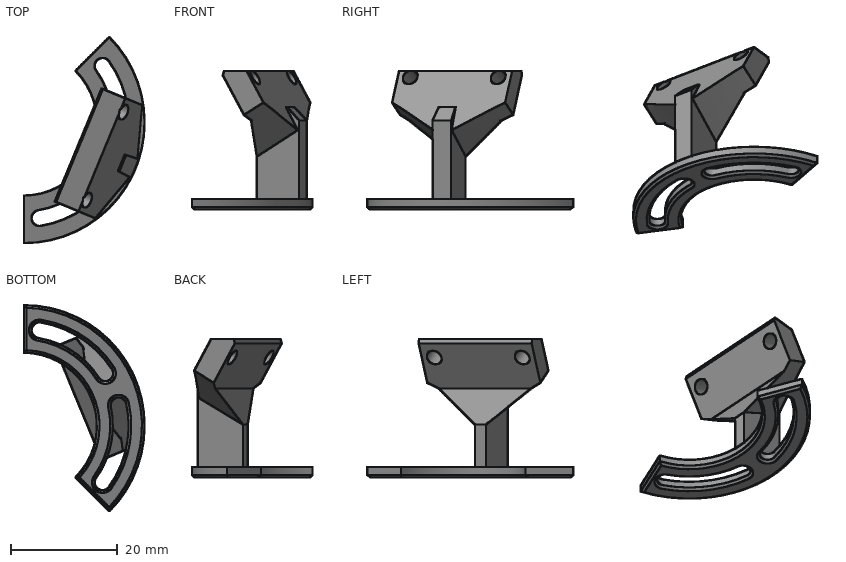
import cadquery as cq
import math

start_angle = -90
end_angle = 45
middle_angle = (start_angle + end_angle) / 2
outer_radius = 38.63 / (1 + math.sin(math.radians(end_angle)))
inner_radius = 13.68
base_thickness = 2.0
base_chamfer = 0.5

slot_radius = (outer_radius + inner_radius) / 2
slot_width = 2.95
slot_far_offset = 58.2
slot_near_offset = 10.3

post_half_angle = 4.8
post_top = 19.2
post_slope_drop = 2.5

overall_height = 26.0
tilt = math.radians(60)
slab_half_width = 11.47
slab_thickness = 4.6
slab_corner_radius = 15.3
slab_corner_height = 17.75
bevel_height = 0.85
bevel_inset = 0.27
lip_half_width = 9.43
lip_slope = math.radians(30)
lip_depth = (slab_half_width - lip_half_width) * math.tan(lip_slope)
gusset_depth = 5.95

hole_diameter = 2.95
hole_half_spacing = 8.92
hole_height = 22.5



def polar(radius, angle):
    angle = math.radians(angle)
    return radius * math.cos(angle), radius * math.sin(angle)


def head_point(down, through):
    """Radial position and height, from distances down the slab and through its thickness."""
    radial = slab_corner_radius + down * math.cos(tilt) + through * math.sin(tilt)
    height = slab_corner_height - down * math.sin(tilt) + through * math.cos(tilt)
    return radial, height


def down_to_height(height, through):
    """Distance down the slab at which a plane parallel to its face has this height."""
    return (slab_corner_height + through * math.cos(tilt) - height) / math.sin(tilt)


def ring_sector(inner, outer, first, last):
    middle = (first + last) / 2
    return (
        cq.Workplane("XY")
        .moveTo(*polar(inner, first))
        .lineTo(*polar(outer, first))
        .threePointArc(polar(outer, middle), polar(outer, last))
        .lineTo(*polar(inner, last))
        .threePointArc(polar(inner, middle), polar(inner, first))
        .close()
        .extrude(base_thickness)
    )


def curved_slot(first, last):
    half_width = slot_width / 2
    slot = ring_sector(slot_radius - half_width, slot_radius + half_width, first, last)
    ends = [polar(slot_radius, first), polar(slot_radius, last)]
    return slot.union(cq.Workplane("XY").pushPoints(ends).circle(half_width).extrude(base_thickness))


def make_base():
    base = ring_sector(inner_radius, outer_radius, start_angle, end_angle)
    for side in (-1, 1):
        limits = sorted(middle_angle + side * offset for offset in (slot_near_offset, slot_far_offset))
        base = base.cut(curved_slot(*limits))
    return base.faces("<Z").chamfer(base_chamfer)


post_inner, post_inner_half = polar(inner_radius, post_half_angle)
post_outer, post_outer_half = polar(outer_radius, post_half_angle)
joint_front = (post_inner - head_point(gusset_depth, 0)[0]) / math.sin(tilt)
joint_back_radial = head_point(gusset_depth, slab_thickness)[0]


def make_post():
    profile = [
        (post_inner, base_thickness),
        (post_outer, base_thickness),
        (post_outer, post_top - post_slope_drop),
        (post_outer - post_slope_drop, post_top),
        head_point(down_to_height(post_top, slab_thickness), slab_thickness),
        head_point(gusset_depth, slab_thickness),
        head_point(gusset_depth, joint_front),
    ]
    plan = [
        (post_inner, -post_inner_half),
        (post_outer, -post_outer_half),
        (post_outer, post_outer_half),
        (post_inner, post_inner_half),
    ]
    wedge = cq.Workplane("XY").polyline(plan).close().extrude(post_top)
    side = cq.Workplane("XZ").polyline(profile).close().extrude(post_outer_half, both=True)
    return side.intersect(wedge)


def slab_plane(down):
    """Plane across the slab: X runs through its thickness, Y along its width."""
    radial, height = head_point(down, 0)
    return cq.Plane(
        origin=(radial, 0, height),
        xDir=(math.sin(tilt), 0, math.cos(tilt)),
        normal=(math.cos(tilt), 0, -math.sin(tilt)),
    )


def cross_section(front, front_half, back_half):
    """Corners of a section that is symmetric about the middle of the slab."""
    return [
        (front, -front_half),
        (slab_thickness, -back_half),
        (slab_thickness, back_half),
        (front, front_half),
    ]


def ruled_body(down, first, next_down, second):
    wires = []
    for depth, points in ((down, first), (next_down, second)):
        plane = slab_plane(depth)
        corners = [plane.toWorldCoords(point) for point in points]
        wires.append(cq.Wire.makePolygon(corners, close=True))
    return cq.Workplane(cq.Solid.makeLoft(wires, True))


def make_head():
    bevel_top = overall_height - bevel_height
    bevel_radial, _ = head_point(down_to_height(bevel_top, 0), 0)
    profile = [
        head_point(0, 0),
        (bevel_radial, bevel_top),
        (bevel_radial + bevel_inset, overall_height),
        head_point(down_to_height(overall_height, slab_thickness), slab_thickness),
        head_point(0, slab_thickness),
    ]
    slab = cq.Workplane("XZ").polyline(profile).close().extrude(slab_half_width, both=True)

    slab_section = cross_section(0, slab_half_width, slab_half_width)
    lip_section = cross_section(0, lip_half_width, lip_half_width)
    joint_back_half = joint_back_radial * math.tan(math.radians(post_half_angle))
    joint_section = cross_section(joint_front, post_inner_half, joint_back_half)
    lip = ruled_body(0, slab_section, lip_depth, lip_section)
    gusset = ruled_body(lip_depth, lip_section, gusset_depth, joint_section)
    head = slab.union(lip).union(gusset)

    hole_radial, _ = head_point(down_to_height(hole_height, 0), 0)
    hole_plane = cq.Plane(
        origin=(hole_radial, 0, hole_height),
        xDir=(0, 1, 0),
        normal=(math.sin(tilt), 0, math.cos(tilt)),
    )
    holes = (
        cq.Workplane(hole_plane)
        .pushPoints([(-hole_half_spacing, 0), (hole_half_spacing, 0)])
        .circle(hole_diameter / 2)
        .extrude(slab_thickness * 2, both=True)
    )
    return head.cut(holes)


upright = make_post().union(make_head()).rotate((0, 0, 0), (0, 0, 1), middle_angle)
result = make_base().union(upright)